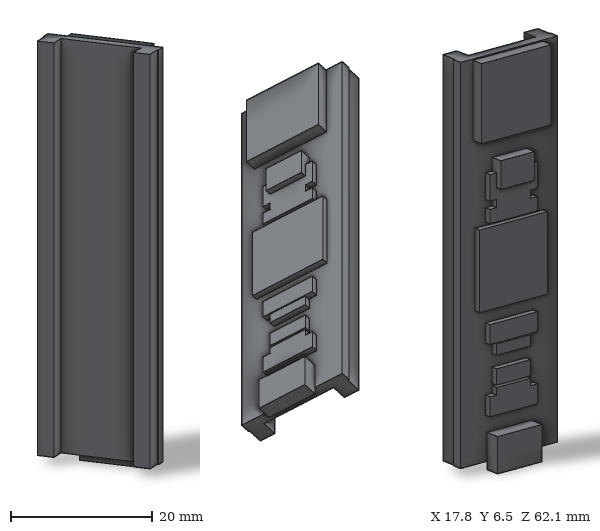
import cadquery as cq

TOTAL_HEIGHT = 62.15

BOARD_WIDTH = 17.8
BOARD_THICKNESS = 1.6
CONNECTOR_OVERHANG = 1.25
BOARD_HEIGHT = TOTAL_HEIGHT - CONNECTOR_OVERHANG

HEADER_WIDTH = 2.55
HEADER_DEPTH = 2.55
HEADER_INSET = 0.2

CONNECTOR_WIDTH = 8.1
CONNECTOR_HEIGHT = 5.6
CONNECTOR_DEPTH = 2.35

MODULE_WIDTH = 12.75
MODULE_HEIGHT = 12.0
MODULE_CENTER_X = 0.25
MODULE_TOP_INSET = 0.2

TALL_DEPTH = 1.9
CHIP_DEPTH = 1.0

NARROW_CHIP_WIDTH = 6.2
WIDE_CHIP_WIDTH = 8.7
PROCESSOR_WIDTH = 12.45

CHIPS = [
    (15.55, 4.3, NARROW_CHIP_WIDTH, TALL_DEPTH),
    (17.6, 4.0, WIDE_CHIP_WIDTH, CHIP_DEPTH),
    (21.6, 1.25, NARROW_CHIP_WIDTH, CHIP_DEPTH),
    (22.8, 2.1, WIDE_CHIP_WIDTH, CHIP_DEPTH),
    (25.5, 12.4, PROCESSOR_WIDTH, CHIP_DEPTH),
    (40.1, 3.0, WIDE_CHIP_WIDTH, CHIP_DEPTH),
    (43.25, 1.7, NARROW_CHIP_WIDTH, CHIP_DEPTH),
    (47.0, 2.4, NARROW_CHIP_WIDTH, CHIP_DEPTH),
    (49.8, 1.1, NARROW_CHIP_WIDTH, CHIP_DEPTH),
    (50.9, 3.0, WIDE_CHIP_WIDTH, CHIP_DEPTH),
]


def block(width, depth, height, center_x, front_y, top_offset):
    """Box whose upper side lies top_offset below the board's top edge."""
    bottom_z = TOTAL_HEIGHT - top_offset - height
    box = cq.Workplane("XY").box(width, depth, height, centered=(True, False, False))
    return box.translate((center_x, front_y, bottom_z))


def back_block(width, depth, height, center_x, top_offset):
    """Box standing on the back face of the board."""
    return block(width, depth, height, center_x, BOARD_THICKNESS, top_offset)


result = block(BOARD_WIDTH, BOARD_THICKNESS, BOARD_HEIGHT, 0, 0, 0)

header_center_x = BOARD_WIDTH / 2 - HEADER_INSET - HEADER_WIDTH / 2
for side in (-1, 1):
    header = block(HEADER_WIDTH, HEADER_DEPTH, BOARD_HEIGHT, side * header_center_x, -HEADER_DEPTH, 0)
    result = result.union(header)

module = back_block(MODULE_WIDTH, TALL_DEPTH, MODULE_HEIGHT, MODULE_CENTER_X, MODULE_TOP_INSET)
result = result.union(module)

connector_top_offset = TOTAL_HEIGHT - CONNECTOR_HEIGHT
connector = back_block(CONNECTOR_WIDTH, CONNECTOR_DEPTH, CONNECTOR_HEIGHT, 0, connector_top_offset)
result = result.union(connector)

for top_offset, height, width, depth in CHIPS:
    result = result.union(back_block(width, depth, height, 0, top_offset))